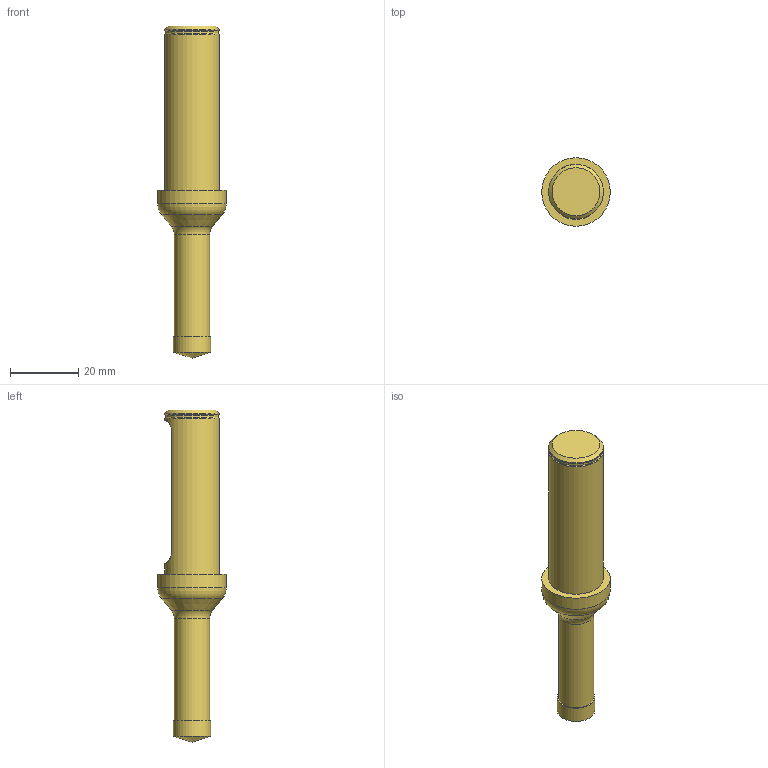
import cadquery as cq
import math

total_length = 97.0

head_radius = 10.9 / 2
point_height = 1.65
head_length = 4.75
head_top = point_height + head_length

neck_radius = 10.3 / 2
neck_fillet = 3.5

collar_radius = 10.0
collar_thickness = 4.0
collar_rounding = 4.8
cone_angle = math.radians(40)

shank_radius = 15.99 / 2
shank_length = 48.0
shank_chamfer = 1.0
groove_depth = 0.25
groove_floor_width = 0.6
groove_center = 1.85

flat_distance = 6.0
flat_runout_radius = 3.3
flat_length = 42.0
flat_offset = 3.1

collar_top = total_length - shank_length
rim_bottom = collar_top - collar_thickness
groove_z = total_length - groove_center


def arc_point(center_radius, center_z, arc_radius, angle):
    """Point on a profile arc; the angle is measured from the outward direction."""
    return (center_radius + arc_radius * math.cos(angle), center_z + arc_radius * math.sin(angle))


def make_head():
    return (
        cq.Workplane("XZ")
        .moveTo(0, 0)
        .lineTo(head_radius, point_height)
        .lineTo(head_radius, head_top)
        .lineTo(0, head_top)
        .close()
        .revolve(360, (0, 0), (0, 1))
    )


def make_holder_blank():
    rounding_center = collar_radius - collar_rounding
    rounding_mid = arc_point(rounding_center, rim_bottom, collar_rounding, -cone_angle / 2)
    cone_start = arc_point(rounding_center, rim_bottom, collar_rounding, -cone_angle)

    fillet_center = neck_radius + neck_fillet
    cone_end_radius = fillet_center - neck_fillet * math.cos(cone_angle)
    cone_end_z = cone_start[1] - (cone_start[0] - cone_end_radius) / math.tan(cone_angle)
    fillet_z = cone_end_z - neck_fillet * math.sin(cone_angle)
    fillet_mid = arc_point(fillet_center, fillet_z, neck_fillet, math.pi - cone_angle / 2)

    floor_half_width = groove_floor_width / 2
    mouth_half_width = floor_half_width + groove_depth

    return (
        cq.Workplane("XZ")
        .moveTo(0, head_top)
        .lineTo(neck_radius, head_top)
        .lineTo(neck_radius, fillet_z)
        .threePointArc(fillet_mid, (cone_end_radius, cone_end_z))
        .lineTo(*cone_start)
        .threePointArc(rounding_mid, (collar_radius, rim_bottom))
        .lineTo(collar_radius, collar_top)
        .lineTo(shank_radius, collar_top)
        .lineTo(shank_radius, groove_z - mouth_half_width)
        .lineTo(shank_radius - groove_depth, groove_z - floor_half_width)
        .lineTo(shank_radius - groove_depth, groove_z + floor_half_width)
        .lineTo(shank_radius, groove_z + mouth_half_width)
        .lineTo(shank_radius, total_length - shank_chamfer)
        .lineTo(shank_radius - shank_chamfer, total_length)
        .lineTo(0, total_length)
        .close()
        .revolve(360, (0, 0), (0, 1))
    )


def make_flat_cutter():
    """Material removed for the flat, extruded along X from its YZ outline."""
    flat_depth = shank_radius - flat_distance
    runout_angle = math.acos(1 - flat_depth / flat_runout_radius)
    runout_length = flat_runout_radius * math.sin(runout_angle)
    runout_center = flat_distance + flat_runout_radius
    mid_y = runout_center - flat_runout_radius * math.cos(runout_angle / 2)
    mid_inset = runout_length - flat_runout_radius * math.sin(runout_angle / 2)
    low = collar_top + flat_offset
    high = low + flat_length

    return (
        cq.Workplane("YZ")
        .moveTo(shank_radius, low)
        .threePointArc((mid_y, low + mid_inset), (flat_distance, low + runout_length))
        .lineTo(flat_distance, high - runout_length)
        .threePointArc((mid_y, high - mid_inset), (shank_radius, high))
        .close()
        .extrude(shank_radius, both=True)
    )


head = make_head()
holder = make_holder_blank().cut(make_flat_cutter())

result = cq.Compound.makeCompound([head.val(), holder.val()])